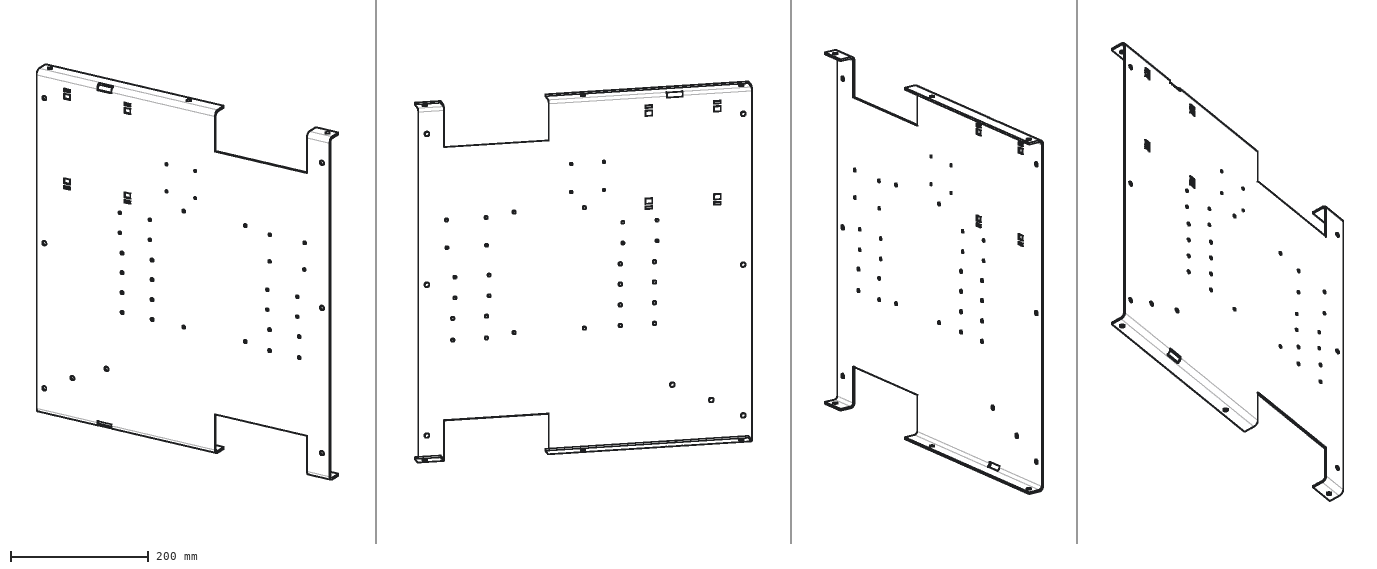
import cadquery as cq

width = 495.5
height = 540.0
flange_depth = 25.5
thickness = 3.0
bend_outer_radius = 7.5
bend_inner_radius = bend_outer_radius - thickness

gap_left = 54.0
gap_right = 209.5
gap_height = 63.0

window_left = -145.0
window_right = -121.5
window_height = 9.5
window_depth = 6.0

mount_diameter = 7.0
mount_x = 235.0
mount_z = 228.5
flange_hole_diameter = mount_diameter
flange_hole_y = 16.0

tie_x = (-196.5, -94.5)
tie_slot_width = 10.0
tall_slot_height = 8.0
short_slot_height = 4.0
bridge_height = short_slot_height
upper_tie_start = 250.5
lower_tie_start = 93.5

hole_grids = [
    (3.85, (-28.0, 20.5), (169.0, 126.5)),
    (5.0, (1.0, 105.0), (101.5, -81.0)),
    (4.8, (147.0, 205.5), (96.0,)),
    (4.5, (146.5, 205.0), (54.0,)),
    (4.5, (-107.0, -56.0), (75.5, 44.0)),
    (5.35, (-103.0, -52.5), (13.0, -18.0, -49.0, -80.5)),
    (4.5, (142.5, 193.0), (8.5, -22.5)),
    (5.0, (146.5, 196.5), (-53.5, -86.5)),
    (mount_diameter, (-mount_x, mount_x), (mount_z, 0, -mount_z)),
    (mount_diameter, (-129.5,), (-175.0,)),
    (mount_diameter, (-187.5,), (-202.0,)),
]


def block(left, right, front, back, bottom, top):
    """Box given by its limits along X, Y and Z."""
    size = (right - left, back - front, top - bottom)
    return cq.Workplane("XY").box(*size, centered=False).translate((left, front, bottom))


def channel():
    """Bent sheet: a shell between an outer and an inner rounded U section."""
    def rounded_u(inset, radius):
        half = height / 2 - inset
        solid = block(-width / 2, width / 2, inset, flange_depth, -half, half)
        return solid.edges("|X and <Y").fillet(radius)

    return rounded_u(0, bend_outer_radius).cut(rounded_u(thickness, bend_inner_radius))


def sheet_holes(diameter, x_places, z_places):
    """Holes through the sheet at every crossing of the given places."""
    points = [(x, z) for x in x_places for z in z_places]
    sketch = cq.Workplane("XZ").pushPoints(points).circle(diameter / 2)
    return sketch.extrude(-flange_depth)


def tie_slots(x, z_start, direction):
    """Short slot starting at z_start, then the bridge and the tall slot along direction."""
    short_end = z_start + direction * short_slot_height
    tall_start = short_end + direction * bridge_height
    tall_end = tall_start + direction * tall_slot_height
    left = x - tie_slot_width / 2
    right = x + tie_slot_width / 2
    short_slot = block(left, right, 0, thickness, *sorted((z_start, short_end)))
    tall_slot = block(left, right, 0, thickness, *sorted((tall_start, tall_end)))
    return short_slot.add(tall_slot).combine()


def end_notches(left, right, depth, notch_height):
    """Two alike blocks at the top and bottom ends, reaching from the outer face back to depth."""
    end = height / 2
    upper = block(left, right, 0, depth, end - notch_height, end)
    return upper.union(upper.mirror("XY"))


def flange_drills():
    """Drills along Z that pass through the top and the bottom flange."""
    points = [(x, flange_hole_y) for x in (-mount_x, 0, mount_x)]
    sketch = cq.Workplane("XY").pushPoints(points).circle(flange_hole_diameter / 2)
    return sketch.extrude(height / 2, both=True)


result = channel()
result = result.cut(end_notches(gap_left, gap_right, flange_depth, gap_height))
result = result.cut(end_notches(window_left, window_right, window_depth, window_height))

for grid in hole_grids:
    result = result.cut(sheet_holes(*grid))

result = result.cut(flange_drills())

for x in tie_x:
    result = result.cut(tie_slots(x, upper_tie_start, -1))
    result = result.cut(tie_slots(x, lower_tie_start, 1))